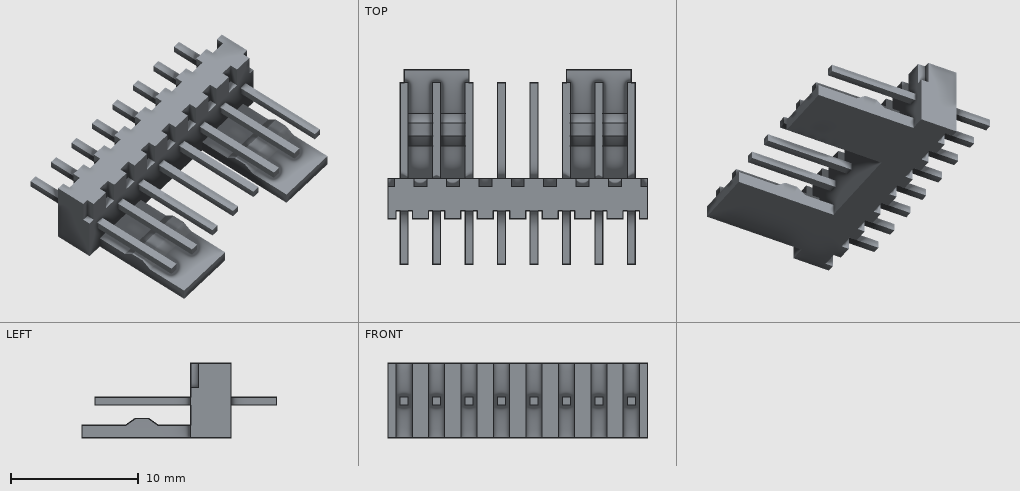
import cadquery as cq

PIN_COUNT = 8
PITCH = 2.54
PIN_SIDE = 0.635
PIN_FRONT_REACH = 3.556
PIN_REAR_REACH = 7.493
PIN_CENTRE_Z = 2.87

BODY_LENGTH = PIN_COUNT * PITCH
BODY_DEPTH = 3.175
BODY_HEIGHT = 5.842

GROOVE_WIDTH = PITCH / 2
GROOVE_DEPTH = PITCH / 4

NOTCH_WIDTH = 1.016
NOTCH_DEPTH = 0.635
NOTCH_HEIGHT = 1.905

TONGUE_LENGTH = 8.509
TONGUE_THICKNESS = 0.9906
TONGUE_PIN_SPAN = 2
TONGUE_FIRST_PINS = (0, PIN_COUNT - 1 - TONGUE_PIN_SPAN)
RIDGE_CENTRE_FROM_BODY = 3.81
RIDGE_BASE_WIDTH = 2.54
RIDGE_TOP_WIDTH = 1.016
RIDGE_HEIGHT = 0.5334


def pin_x(index):
    """X of a pin centre, with the row centred on X = 0."""
    return (index - (PIN_COUNT - 1) / 2) * PITCH


def block(centre_x, width, y_min, y_max, z_min, z_max):
    """Axis-aligned block centred on centre_x."""
    return (
        cq.Workplane("XY")
        .box(width, y_max - y_min, z_max - z_min, centered=(True, False, False))
        .translate((centre_x, y_min, z_min))
    )


def make_body():
    body = block(0, BODY_LENGTH, 0, BODY_DEPTH, 0, BODY_HEIGHT)
    for index in range(PIN_COUNT):
        body = body.cut(block(pin_x(index), GROOVE_WIDTH, 0, GROOVE_DEPTH, 0, BODY_HEIGHT))

    notch_front = BODY_DEPTH - NOTCH_DEPTH
    notch_floor = BODY_HEIGHT - NOTCH_HEIGHT
    for index in range(PIN_COUNT + 1):
        notch_x = pin_x(index) - PITCH / 2
        body = body.cut(
            block(notch_x, NOTCH_WIDTH, notch_front, BODY_DEPTH, notch_floor, BODY_HEIGHT)
        )
    return body


def make_pin(index):
    return block(
        pin_x(index),
        PIN_SIDE,
        -PIN_FRONT_REACH,
        BODY_DEPTH + PIN_REAR_REACH,
        PIN_CENTRE_Z - PIN_SIDE / 2,
        PIN_CENTRE_Z + PIN_SIDE / 2,
    )


def make_tongue(first_pin):
    """Tongue running from the centre of first_pin across TONGUE_PIN_SPAN pitches."""
    tip_y = BODY_DEPTH + TONGUE_LENGTH
    ridge_y = BODY_DEPTH + RIDGE_CENTRE_FROM_BODY
    ridge_z = TONGUE_THICKNESS + RIDGE_HEIGHT
    profile = [
        (BODY_DEPTH, 0),
        (tip_y, 0),
        (tip_y, TONGUE_THICKNESS),
        (ridge_y + RIDGE_BASE_WIDTH / 2, TONGUE_THICKNESS),
        (ridge_y + RIDGE_TOP_WIDTH / 2, ridge_z),
        (ridge_y - RIDGE_TOP_WIDTH / 2, ridge_z),
        (ridge_y - RIDGE_BASE_WIDTH / 2, TONGUE_THICKNESS),
        (BODY_DEPTH, TONGUE_THICKNESS),
    ]
    return (
        cq.Workplane("YZ")
        .polyline(profile)
        .close()
        .extrude(TONGUE_PIN_SPAN * PITCH)
        .translate((pin_x(first_pin), 0, 0))
    )


result = make_body()
for pin_index in range(PIN_COUNT):
    result = result.union(make_pin(pin_index))
for first_pin_index in TONGUE_FIRST_PINS:
    result = result.union(make_tongue(first_pin_index))